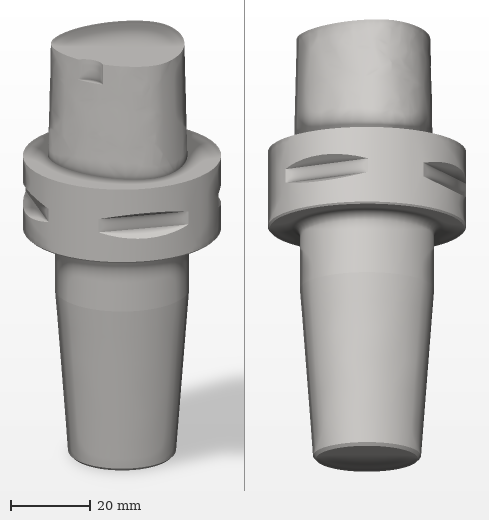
import cadquery as cq
import math

total_length = 110.0
flange_diameter = 50.0
flange_height = 19.9
flange_chamfer = 0.4

shank_height = 30.0
shank_base_radius = 17.6
shank_taper = 1 / 20
shank_top_radius = shank_base_radius - shank_height * shank_taper / 2
lobe_height = 1.1
shank_curve_points = 72

keyway_radius = 5.0
keyway_axis_y = -18.9
keyway_depth = 5.4

neck_radius = 33.9 / 2
neck_fillet = 2.0
neck_end_z = -35.8
nose_end_z = shank_height - total_length
nose_end_radius = 13.6
nose_chamfer = 0.8

slot_count = 4
slot_first_angle = 45
slot_floor_distance = 22.1
slot_floor_height = 3.5
slot_mouth_height = 6.8
slot_center_z = -flange_height / 2


def revolved_body():
    flange_radius = flange_diameter / 2
    fillet_middle = neck_fillet * (1 - math.sqrt(0.5))
    return (
        cq.Workplane("XZ")
        .moveTo(0, 0)
        .lineTo(flange_radius, 0)
        .lineTo(flange_radius, -flange_height + flange_chamfer)
        .lineTo(flange_radius - flange_chamfer, -flange_height)
        .lineTo(neck_radius + neck_fillet, -flange_height)
        .threePointArc(
            (neck_radius + fillet_middle, -flange_height - fillet_middle),
            (neck_radius, -flange_height - neck_fillet),
        )
        .lineTo(neck_radius, neck_end_z)
        .lineTo(nose_end_radius, nose_end_z + nose_chamfer)
        .lineTo(nose_end_radius - nose_chamfer, nose_end_z)
        .lineTo(0, nose_end_z)
        .close()
        .revolve(360, (0, 0, 0), (0, 1, 0))
    )


def shank_point(mean_radius, fraction):
    """Point on a three-lobed curve of constant width with one lobe toward +Y."""
    angle = 2 * math.pi * fraction
    reach = mean_radius - lobe_height * math.sin(3 * angle)
    slope = -3 * lobe_height * math.cos(3 * angle)
    x = reach * math.cos(angle) - slope * math.sin(angle)
    y = reach * math.sin(angle) + slope * math.cos(angle)
    return x, y


def shank_outline(mean_radius, z):
    points = [
        cq.Vector(*shank_point(mean_radius, i / shank_curve_points), z)
        for i in range(shank_curve_points)
    ]
    return cq.Wire.assembleEdges([cq.Edge.makeSpline(points, periodic=True)])


def polygon_shank():
    base = shank_outline(shank_base_radius, 0)
    top = shank_outline(shank_top_radius, shank_height)
    return cq.Workplane(cq.Solid.makeLoft([base, top], True))


def keyway():
    return (
        cq.Workplane("XY", origin=(0, keyway_axis_y, shank_height))
        .circle(keyway_radius)
        .extrude(-keyway_depth)
    )


def gripper_slot(angle):
    mouth_distance = flange_diameter / 2
    floor_half = slot_floor_height / 2
    mouth_half = slot_mouth_height / 2
    return (
        cq.Workplane("XZ")
        .moveTo(slot_floor_distance, slot_center_z - floor_half)
        .lineTo(mouth_distance, slot_center_z - mouth_half)
        .lineTo(mouth_distance, slot_center_z + mouth_half)
        .lineTo(slot_floor_distance, slot_center_z + floor_half)
        .close()
        .extrude(flange_diameter / 2, both=True)
        .rotate((0, 0, 0), (0, 0, 1), angle)
    )


result = revolved_body().union(polygon_shank()).cut(keyway())
for index in range(slot_count):
    result = result.cut(gripper_slot(slot_first_angle + index * 360 / slot_count))